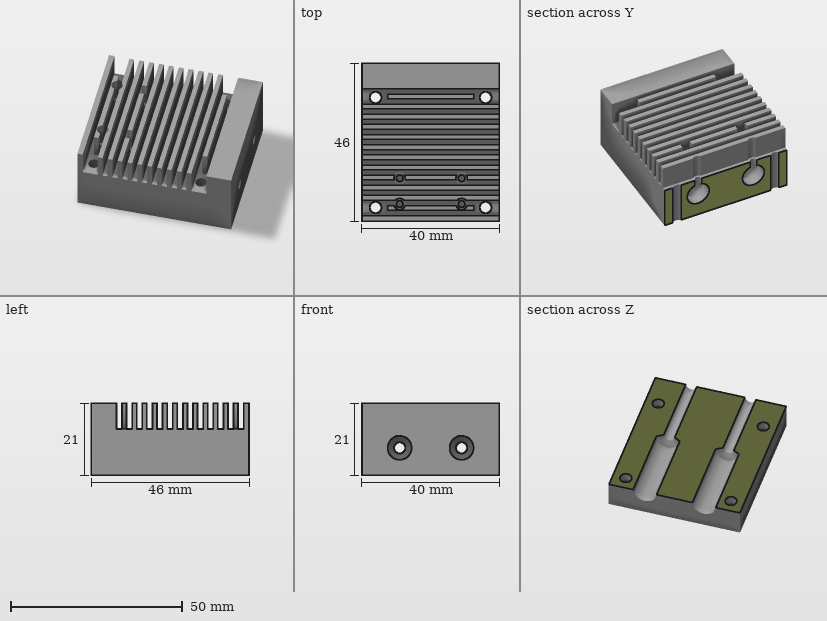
import cadquery as cq
import math

width = 40.0
length = 46.0
height = 21.0

slot_count = 13
slot_width = 1.55
slot_depth = 7.5
front_wall = 1.6
rear_block = 7.4
slot_pitch = (length - front_wall - rear_block - slot_width) / (slot_count - 1)
floor_z = height - slot_depth

corner_length = 7.5
corner_width = slot_pitch + slot_width
mount_diameter = 3.3
mount_inset = 4.0
mount_spacing = 32.0

bore_diameter = 7.0
bore_depth = 23.0
tip_angle = 118.0
through_diameter = 3.2
bore_x = 9.0
bore_z = 8.0

screw_diameter = 2.0
screw_clearance = 3.3
screw_rows = (5.0, 12.5)


def make_block():
    return cq.Workplane("XY").box(width, length, height, centered=(True, False, False))


def upright_cylinders(points, diameter, bottom, top):
    """Vertical cylinders at the given XY points."""
    plane = cq.Workplane("XY", origin=(0, 0, bottom))
    return plane.pushPoints(points).circle(diameter / 2).extrude(top - bottom)


def cut_slots(body):
    for index in range(slot_count):
        slot = cq.Workplane("XY").box(width, slot_width, slot_depth, centered=(True, False, False))
        body = body.cut(slot.translate((0, front_wall + index * slot_pitch, floor_z)))
    return body


def cut_corner_clearances(body):
    rear_start = length - rear_block - corner_width
    for side_start in (-width / 2, width / 2 - corner_length):
        for row_start in (front_wall, rear_start):
            pocket = cq.Workplane("XY").box(corner_length, corner_width, slot_depth, centered=False)
            body = body.cut(pocket.translate((side_start, row_start, floor_z)))
    return body


def cut_mounting_holes(body):
    mount_x = width / 2 - mount_inset
    rows = (mount_inset, mount_inset + mount_spacing)
    points = [(x, y) for x in (-mount_x, mount_x) for y in rows]
    return body.cut(upright_cylinders(points, mount_diameter, 0, height))


def cut_tube_bores(body):
    bore_radius = bore_diameter / 2
    through_radius = through_diameter / 2
    tip_length = (bore_radius - through_radius) / math.tan(math.radians(tip_angle / 2))
    profile = [
        (0, 0),
        (bore_radius, 0),
        (bore_radius, bore_depth),
        (through_radius, bore_depth + tip_length),
        (through_radius, length),
        (0, length),
    ]
    bore = cq.Workplane("XY").polyline(profile).close().revolve(360, (0, 0, 0), (0, 1, 0))
    for x in (-bore_x, bore_x):
        body = body.cut(bore.translate((x, 0, bore_z)))
    return body


def cut_set_screws(body):
    points = [(x, y) for x in (-bore_x, bore_x) for y in screw_rows]
    body = body.cut(upright_cylinders(points, screw_clearance, floor_z, height))
    return body.cut(upright_cylinders(points, screw_diameter, bore_z, floor_z))


result = make_block()
result = cut_slots(result)
result = cut_corner_clearances(result)
result = cut_mounting_holes(result)
result = cut_tube_bores(result)
result = cut_set_screws(result)